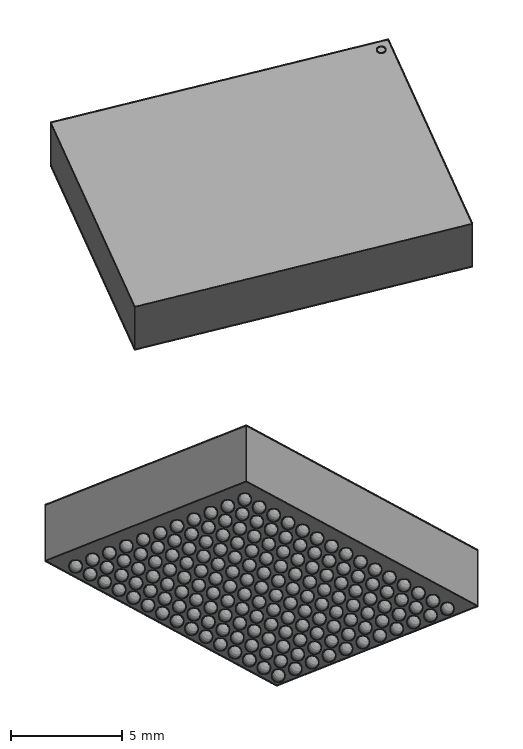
import cadquery as cq

body_length_x = 11.9
body_width_y = 16.0
overall_height = 3.34

ball_diameter = 0.6
ball_drop = 0.5
ball_pitch = 1.0
ball_columns = 11
ball_rows = 15

mark_diameter = 0.4
mark_depth = 0.02
mark_inset = 0.5

body_height = overall_height - ball_drop
body_bottom = ball_drop
ball_radius = ball_diameter / 2
ball_center_z = ball_radius


def make_body():
    """Rectangular package body."""
    return (
        cq.Workplane("XY")
        .workplane(offset=body_bottom)
        .rect(body_length_x, body_width_y)
        .extrude(body_height)
    )


def make_pin_one_mark():
    """Shallow round recess cutter at the pin-one corner."""
    center_x = -body_length_x / 2 + mark_inset
    center_y = body_width_y / 2 - mark_inset
    return (
        cq.Workplane("XY")
        .workplane(offset=overall_height - mark_depth)
        .center(center_x, center_y)
        .circle(mark_diameter / 2)
        .extrude(mark_depth)
    )


def make_balls():
    """Full grid of solder balls, each sunk slightly into the body."""
    ball = cq.Workplane("XY").sphere(ball_radius).val()
    return (
        cq.Workplane("XY")
        .workplane(offset=ball_center_z)
        .rarray(ball_pitch, ball_pitch, ball_columns, ball_rows)
        .eachpoint(lambda location: ball.located(location), combine=False)
    )


marked_body = make_body().cut(make_pin_one_mark())
result = marked_body.union(make_balls())